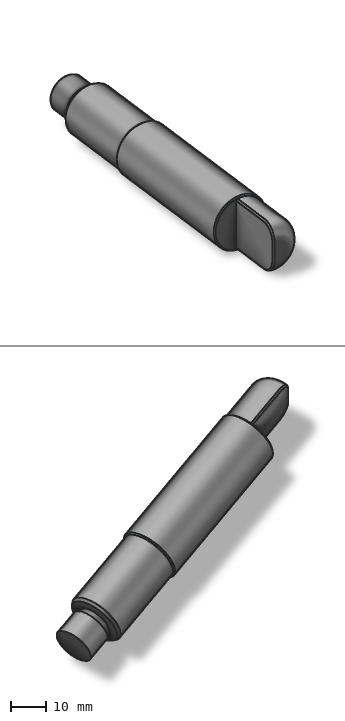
import cadquery as cq

total_length = 102.5
pin_end = 8.0
neck_end = 10.0
body_start = 36.3
tongue_length = 18.0
body_end = total_length - tongue_length

pin_diameter = 12.0
neck_diameter = 10.0
journal_diameter = 17.0
body_diameter = 18.0

journal_chamfer_length = 0.9
journal_chamfer_depth = 0.6
body_chamfer = 0.4

tongue_diameter = 17.0
tip_radius = 5.0
flat_offset = 1.4
flat_chamfer = 0.5


def cylinder(start, end, diameter):
    """Round bar along X between two stations."""
    return cq.Workplane("YZ").workplane(offset=start).circle(diameter / 2).extrude(end - start)


def make_journal():
    """Journal with a tapered lead-in at its pin end."""
    radius = journal_diameter / 2
    profile = (
        cq.Workplane("XY")
        .moveTo(neck_end, 0)
        .lineTo(neck_end, radius - journal_chamfer_depth)
        .lineTo(neck_end + journal_chamfer_length, radius)
        .lineTo(body_start, radius)
        .lineTo(body_start, 0)
        .close()
    )
    return profile.revolve(360, (0, 0, 0), (1, 0, 0))


def make_tongue():
    """Half-round tongue with a rounded tip and a chamfer around its flat."""
    bar = cylinder(body_end, total_length, tongue_diameter)
    bar = bar.faces(">X").edges().fillet(tip_radius)
    cutter = cq.Workplane("XY").box(
        tongue_length, tongue_diameter, tongue_diameter, centered=(False, False, True)
    ).translate((body_end, -flat_offset - tongue_diameter, 0))
    tongue = bar.cut(cutter)
    flat_edges = tongue.faces("<Y").edges().filter(lambda edge: edge.Center().x > body_end + flat_chamfer)
    return tongue.newObject(flat_edges.vals()).chamfer(flat_chamfer)


pin = cylinder(0, pin_end, pin_diameter)
neck = cylinder(pin_end, neck_end, neck_diameter)
body = cylinder(body_start, body_end, body_diameter).faces("<X or >X").edges().chamfer(body_chamfer)

result = pin.union(neck).union(make_journal()).union(body).union(make_tongue())